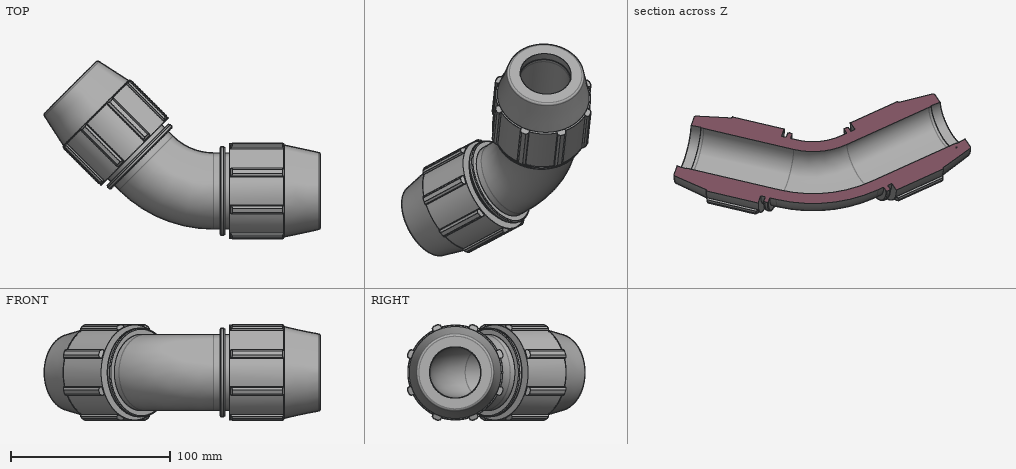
import cadquery as cq
import math

BEND_ANGLE = 45
BEND_RADIUS = 60
PIPE_DIAMETER = 48
BORE_DIAMETER = 32
LEG_LENGTH = 67.12

FLANGE_DIAMETER = 55.68
FLANGE_START = 59.8
FLANGE_THICKNESS = 3.2
FLANGE_CHAMFER_HEIGHT = 0.7
FLANGE_OUTER_CHAMFER = 1.1
FLANGE_INNER_CHAMFER = 0.5

NOSE_LENGTH = 22.7
NOSE_FACE_DIAMETER = 45.6
NOSE_EDGE_RADIUS = 1.5
NOSE_TAPER_ANGLE = 12.2
GRIP_DIAMETER = 59.7
GRIP_LENGTH = 34.4
GRIP_OUTER_BEVEL = 0.6

RIB_COUNT = 8
RIB_TIP_RADIUS = 32
RIB_TIP_WIDTH = 2.8
RIB_BASE_WIDTH = 5.6
RIB_SHOULDER_RADIUS = 31
RIB_ROOT_OVERLAP = 2
RIB_OUTER_BEVEL = 1.2
RIB_INNER_SETBACK = 0.5
RIB_INNER_BEVEL = 1.5

RECESS_DEPTH = 6.4
RECESS_DIAMETER = 32.9
LEAD_IN_DIAMETER = 32.2
LEAD_IN_LENGTH = 2

taper = math.radians(NOSE_TAPER_ANGLE)
edge_center_radius = NOSE_FACE_DIAMETER / 2
taper_start_x = -NOSE_EDGE_RADIUS * (1 - math.sin(taper))
taper_start_radius = edge_center_radius + NOSE_EDGE_RADIUS * math.cos(taper)
nose_base_radius = taper_start_radius + (NOSE_LENGTH + taper_start_x) * math.tan(taper)


def nut_body():
    """Nose and grip revolved about X; the mouth is at x = 0 and the nut runs toward -X."""
    grip_radius = GRIP_DIAMETER / 2
    grip_end = -(NOSE_LENGTH + GRIP_LENGTH)
    profile = (
        cq.Workplane("XY")
        .lineTo(0, edge_center_radius)
        .radiusArc((taper_start_x, taper_start_radius), -NOSE_EDGE_RADIUS)
        .lineTo(-NOSE_LENGTH, nose_base_radius)
        .lineTo(-(NOSE_LENGTH + GRIP_OUTER_BEVEL), grip_radius)
        .lineTo(grip_end, grip_radius)
        .lineTo(grip_end, 0)
        .close()
    )
    return profile.revolve(360, (0, 0, 0), (1, 0, 0))


def grip_rib():
    """One rib on the +Z side of the grip: a bar with sloped shoulders and both ends beveled."""
    root_radius = GRIP_DIAMETER / 2 - RIB_ROOT_OVERLAP
    outer_end = -NOSE_LENGTH
    inner_end = -(NOSE_LENGTH + GRIP_LENGTH - RIB_INNER_SETBACK)
    section = (
        cq.Workplane("YZ")
        .polyline(
            [
                (-RIB_BASE_WIDTH / 2, root_radius),
                (RIB_BASE_WIDTH / 2, root_radius),
                (RIB_BASE_WIDTH / 2, RIB_SHOULDER_RADIUS),
                (RIB_TIP_WIDTH / 2, RIB_TIP_RADIUS),
                (-RIB_TIP_WIDTH / 2, RIB_TIP_RADIUS),
                (-RIB_BASE_WIDTH / 2, RIB_SHOULDER_RADIUS),
            ]
        )
        .close()
        .extrude(inner_end)
    )
    side = (
        cq.Workplane("XZ")
        .polyline(
            [
                (outer_end, root_radius),
                (outer_end, nose_base_radius),
                (outer_end - RIB_OUTER_BEVEL, RIB_TIP_RADIUS),
                (inner_end + RIB_INNER_BEVEL, RIB_TIP_RADIUS),
                (inner_end, GRIP_DIAMETER / 2),
                (inner_end, root_radius),
            ]
        )
        .close()
        .extrude(RIB_BASE_WIDTH, both=True)
    )
    return section.intersect(side)


def stop_flange():
    """Flange ring about X with both rim edges beveled."""
    rim_radius = FLANGE_DIAMETER / 2
    shoulder_radius = rim_radius - FLANGE_CHAMFER_HEIGHT
    outer_face = -FLANGE_START
    inner_face = outer_face - FLANGE_THICKNESS
    profile = (
        cq.Workplane("XY")
        .polyline(
            [
                (outer_face, 0),
                (outer_face, shoulder_radius),
                (outer_face - FLANGE_OUTER_CHAMFER, rim_radius),
                (inner_face + FLANGE_INNER_CHAMFER, rim_radius),
                (inner_face, shoulder_radius),
                (inner_face, 0),
            ]
        )
        .close()
    )
    return profile.revolve(360, (0, 0, 0), (1, 0, 0))


def pipe_stub():
    """Straight pipe from inside the nut back to the bend."""
    return (
        cq.Workplane("YZ")
        .workplane(offset=-LEG_LENGTH)
        .circle(PIPE_DIAMETER / 2)
        .extrude(LEG_LENGTH - NOSE_LENGTH)
    )


def leg():
    """Solid leg along X: nut, flange and pipe stub, with its mouth at x = 0."""
    body = nut_body().union(stop_flange()).union(pipe_stub())
    rib = grip_rib()
    pitch = 360 / RIB_COUNT
    for index in range(RIB_COUNT):
        body = body.union(rib.rotate((0, 0, 0), (1, 0, 0), pitch / 2 + index * pitch))
    return body


def leg_bore():
    """Bore of one leg, with the recess and lead-in at its mouth."""
    bore_radius = BORE_DIAMETER / 2
    bore_start = -(RECESS_DEPTH + LEAD_IN_LENGTH)
    profile = (
        cq.Workplane("XY")
        .polyline(
            [
                (0, 0),
                (0, bore_radius),
                (-RECESS_DEPTH, RECESS_DIAMETER / 2),
                (-RECESS_DEPTH, LEAD_IN_DIAMETER / 2),
                (bore_start, bore_radius),
                (-LEG_LENGTH, bore_radius),
                (-LEG_LENGTH, 0),
            ]
        )
        .close()
    )
    return profile.revolve(360, (0, 0, 0), (1, 0, 0))


def bend(diameter):
    """Curved pipe from the origin, heading toward -X and turning toward +Y."""
    section = cq.Workplane("YZ").circle(diameter / 2)
    return section.revolve(BEND_ANGLE, (BEND_RADIUS, 0, 0), (BEND_RADIUS, -1, 0))


def both_legs(shape):
    """Place a leg shape on the straight end and its mirror image on the turned end."""
    straight = shape.translate((LEG_LENGTH, 0, 0))
    mirrored = straight.mirror("YZ")
    turned = mirrored.rotate((0, BEND_RADIUS, 0), (0, BEND_RADIUS, 1), -BEND_ANGLE)
    return straight.union(turned)


result = both_legs(leg()).union(bend(PIPE_DIAMETER))
result = result.cut(both_legs(leg_bore()).union(bend(BORE_DIAMETER)))